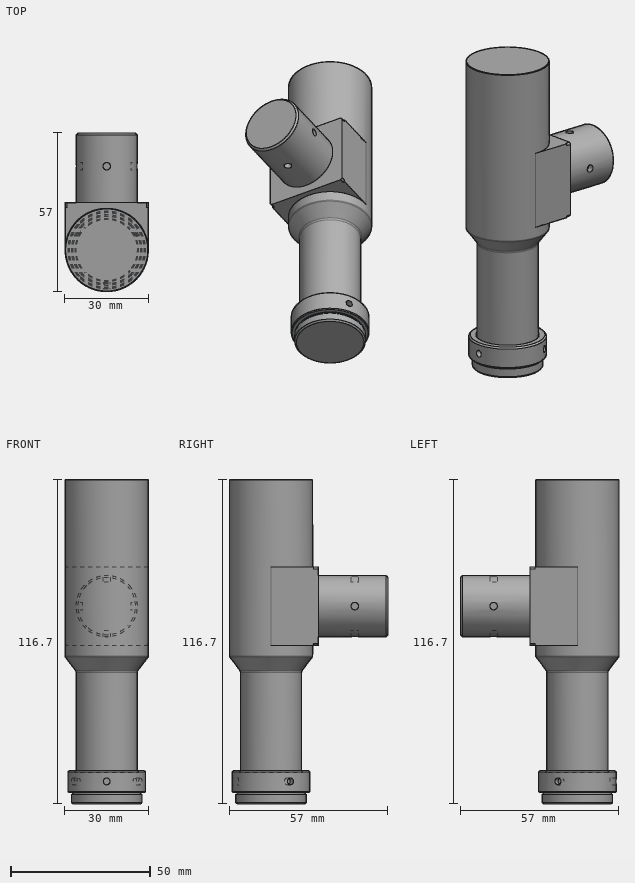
import cadquery as cq

body_diameter = 30.0
body_radius = body_diameter / 2
total_height = 116.7
body_bottom = 53.0
body_top_chamfer = 0.2
neck_diameter = 22.0
neck_radius = neck_diameter / 2
cone_bottom = 47.7
cone_top_fillet = 0.6
cone_bottom_fillet = 1.3

collar_radius = 28.0 / 2
collar_top = 12.1
collar_bottom = 4.2
collar_top_chamfer = 0.6
collar_bottom_chamfer = 0.3
clearance_radius = 22.7 / 2
clearance_depth = 0.7
ring_radius = 25.4 / 2
ring_top = 3.5
ring_chamfer = 0.6
groove_radius = 24.6 / 2
collar_hole_z = 8.2

branch_z = 71.2
block_height = 28.2
block_back = 17.0
block_corner_chamfer = 0.7
block_corner_length = 1.7
branch_radius = neck_radius
branch_end = 57.0 - body_radius
branch_chamfer = 0.7
branch_hole_y = 30.1

collar_hole_diameter = 2.5
branch_hole_diameter = 2.7
hole_depth = 2.3


def circle_at(height):
    """Select the edges lying in the horizontal plane at the given height."""
    margin = 0.1
    low = (-body_diameter, -body_diameter, height - margin)
    high = (body_diameter, body_diameter, height + margin)
    return cq.selectors.BoxSelector(low, high, boundingbox=True)


def make_body():
    """Revolve the stepped half profile about Z."""
    profile = [
        (0, 0),
        (ring_radius - ring_chamfer, 0),
        (ring_radius, ring_chamfer),
        (ring_radius, ring_top),
        (groove_radius, ring_top),
        (groove_radius, collar_bottom),
        (collar_radius - collar_bottom_chamfer, collar_bottom),
        (collar_radius, collar_bottom + collar_bottom_chamfer),
        (collar_radius, collar_top - collar_top_chamfer),
        (collar_radius - collar_top_chamfer, collar_top),
        (clearance_radius, collar_top),
        (clearance_radius, collar_top - clearance_depth),
        (neck_radius, collar_top - clearance_depth),
        (neck_radius, cone_bottom),
        (body_radius, body_bottom),
        (body_radius, total_height - body_top_chamfer),
        (body_radius - body_top_chamfer, total_height),
        (0, total_height),
    ]
    body = cq.Workplane("XZ").polyline(profile).close().revolve(360, (0, 0), (0, 1))
    body = body.edges(circle_at(body_bottom)).fillet(cone_top_fillet)
    return body.edges(circle_at(cone_bottom)).fillet(cone_bottom_fillet)


def make_block():
    """Side block whose four corners are chamfered over a short length at its back face."""
    front_length = block_back - block_corner_length
    front = cq.Workplane("XY").box(body_diameter, front_length, block_height, centered=(True, False, True))
    back = (
        cq.Workplane("XY")
        .box(body_diameter, block_corner_length, block_height, centered=(True, False, True))
        .edges("|Y")
        .chamfer(block_corner_chamfer)
        .translate((0, front_length, 0))
    )
    return front.union(back).translate((0, 0, branch_z))


def make_branch():
    """Round branch along +Y with a chamfered end."""
    return (
        cq.Workplane("XZ", origin=(0, 0, branch_z))
        .circle(branch_radius)
        .extrude(-branch_end)
        .faces(">Y")
        .chamfer(branch_chamfer)
    )


def radial_hole(surface_radius, diameter):
    """Blind hole cutter along +X, entering a cylinder of the given radius about the origin."""
    floor = surface_radius - hole_depth
    return cq.Workplane("YZ", origin=(floor, 0, 0)).circle(diameter / 2).extrude(2 * hole_depth)


result = make_body().union(make_block()).union(make_branch())

for angle in (30, 150, 270):
    cutter = radial_hole(collar_radius, collar_hole_diameter).rotate((0, 0, 0), (0, 0, 1), angle)
    result = result.cut(cutter.translate((0, 0, collar_hole_z)))

for angle in (0, 90, 180, 270):
    cutter = radial_hole(branch_radius, branch_hole_diameter).rotate((0, 0, 0), (0, 1, 0), angle)
    result = result.cut(cutter.translate((0, branch_hole_y, branch_z)))